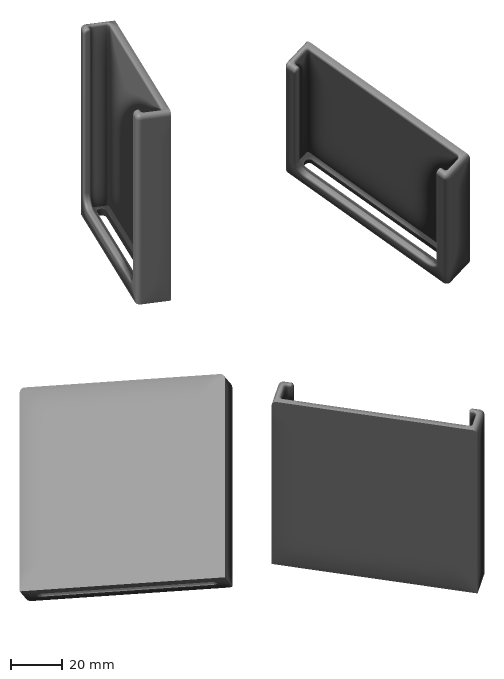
import cadquery as cq

width = 82.5
depth = 14.0
height = 83.0
outer_round = 2.0
inner_round = 1.0

rim_flat = 0.01
wall = outer_round + inner_round + rim_flat
floor = wall
cavity_width = width - 2 * wall
cavity_depth = depth - 2 * wall
cavity_middle = -depth / 2

lip = 6.0
window_radius = 5.0
window_width = width - 2 * lip

slot_side_margin = 5.0
slot_length = width - 2 * slot_side_margin
slot_width = 4.0

overcut = 4.15


def upright_block(size_x, size_y, bottom, top, edge_radius):
    """Block centred in the cavity, with rounded vertical edges."""
    block = cq.Workplane("XY").box(size_x, size_y, top - bottom, centered=(True, True, False))
    return block.edges("|Z").fillet(edge_radius).translate((0, cavity_middle, bottom))


def make_shell():
    """Block with rounded front and top outer edges, except along the back and base."""
    block = cq.Workplane("XY").box(width, depth, height, centered=(True, True, False))
    block = block.translate((0, cavity_middle, 0))
    front_and_sides = block.edges("(|Z and <Y) or (|Y and >Z) or (|X and <Y and >Z)")
    shell = front_and_sides.fillet(outer_round)
    return shell.cut(upright_block(cavity_width, cavity_depth, floor, height + overcut, inner_round))


def make_window():
    """Opening in the front wall with rounded lower corners."""
    window = cq.Workplane("XY").box(window_width, wall + overcut, height + overcut - lip,
                                    centered=(True, False, False))
    window = window.edges("|Y and <Z").fillet(window_radius)
    return window.translate((0, -depth - overcut, lip))


def make_slot():
    """Round-ended slot through the floor."""
    slot = cq.Workplane("XY").slot2D(slot_length, slot_width).extrude(floor + 2 * overcut)
    return slot.translate((0, cavity_middle, -overcut))


def round_opening_rim(body, face_y):
    """Round the smooth run of edges that passes along the window sill at face_y."""
    sill_edge = cq.selectors.NearestToPointSelector((0, face_y, lip))
    return body.edges(sill_edge).fillet(inner_round)


body = make_shell().cut(make_window()).cut(make_slot())
body = round_opening_rim(body, -depth)
body = round_opening_rim(body, wall - depth)
result = body